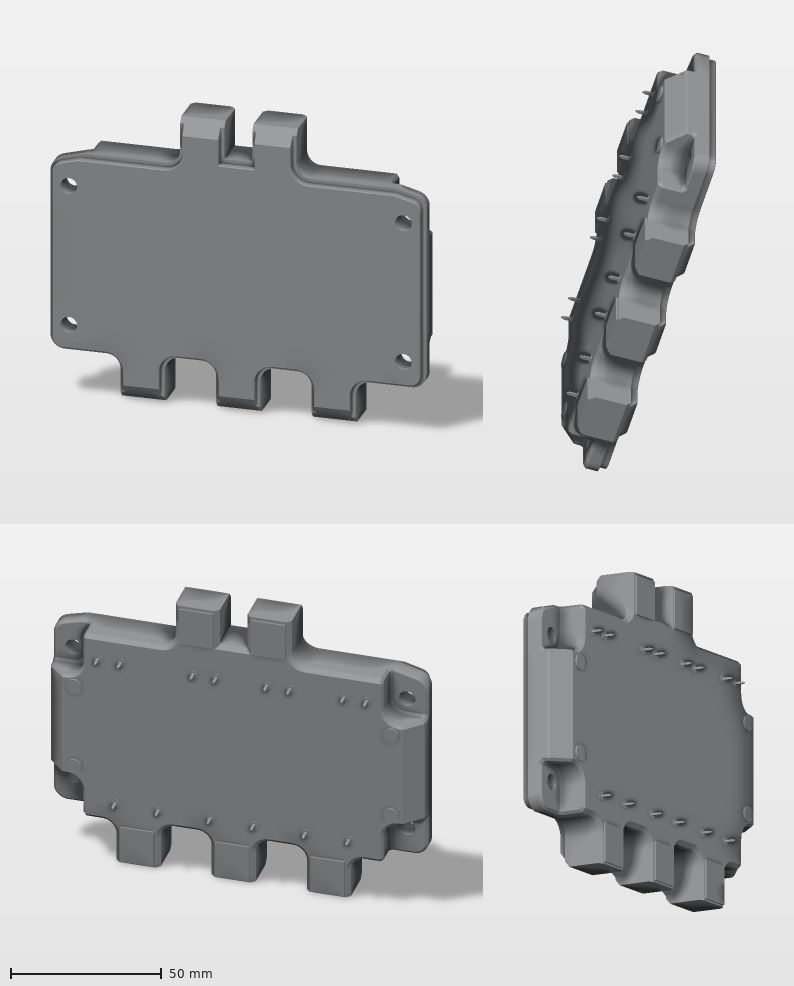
import cadquery as cq
import math

WIDTH = 130.0
TOP_TAB_END = 52.9
BOTTOM_TAB_END = -50.0
BODY_TOP = 16.6
PIN_TIP = 20.5

TOP_EDGE = 36.0
BOTTOM_EDGE = -34.8
BOTTOM_NOTCH_EDGE = -33.7
TOP_NOTCH_EDGE = 39.6
OUTLINE_RADIUS = 5.0
TAB_WIDTH = 15.3
TOP_TAB_X = 12.5
BOTTOM_TAB_PITCH = 33.0
SLOPE_START_X = 54.9
HOUSING_LEFT_SLOPE_START_X = 52.8
SLOPE_ANGLE = 15.0
TAB_OVERRUN = 3.9

PLATE_THICKNESS = 2.7
PLATE_INSET = 1.4
PLATE_CHAMFER = 0.3

RIM_CHAMFER = 1.4
TAB_CHAMFER_Y = 4.3
TAB_CHAMFER_Z = 5.5
SIDE_CHAMFER_X = 5.8
SIDE_CHAMFER_Y = 6.0
SIDE_BREAK = 0.5

HOLE_X = 57.8
HOLE_Z = 25.0
HOLE_DIAMETER = 5.7
POCKET_RADIUS = 5.8
POCKET_FLOOR = 7.7
POCKET_FLOOR_CHAMFER = 0.9
POCKET_RIM_CHAMFER = 0.9

PAD_HEIGHT = 0.6
PAD_WIDTH = 11.7
PAD_LENGTH = 13.3
TOP_PAD_END_GAP = 1.0
BOTTOM_PAD_END_GAP = 0.6
BOSS_DIAMETER = 5.5
BOSS_X = 55.0
BOSS_Z = 15.5

PIN_ROW_Z = 27.4
PIN_WIDTH = 1.0
PIN_DEPTH = 0.8
PIN_TIP_LENGTH = 1.0
PIN_TIP_TAPER = 0.3
COLLAR_RADIUS = 1.4
COLLAR_HEIGHT = 0.3
BOTTOM_PIN_OFFSET = 7.5
TOP_PIN_SPACING = 7.9
TOP_PIN_PAIR_X = (-42.8, -16.1, 9.5, 42.6)

HALF_WIDTH = WIDTH / 2
HALF_TAB = TAB_WIDTH / 2
SIDES = (-1, 1)
BOTTOM_TAB_X = (-BOTTOM_TAB_PITCH, 0, BOTTOM_TAB_PITCH)
TOLERANCE = 0.001


def on_face(y):
    """Workplane parallel to the XZ plane at height y; negative extrusions run toward +Y."""
    return cq.Workplane("XZ", origin=(0, y, 0))


def half_outline(slope_start):
    """Sharp corners of the outline on the +X side, with the tabs running past their ends."""
    slope_drop = (HALF_WIDTH - slope_start) * math.tan(math.radians(SLOPE_ANGLE))
    top = TOP_TAB_END + TAB_OVERRUN
    bottom = BOTTOM_TAB_END - TAB_OVERRUN
    return [
        (TOP_TAB_X - HALF_TAB, TOP_NOTCH_EDGE),
        (TOP_TAB_X - HALF_TAB, top),
        (TOP_TAB_X + HALF_TAB, top),
        (TOP_TAB_X + HALF_TAB, TOP_EDGE),
        (slope_start, TOP_EDGE),
        (HALF_WIDTH, TOP_EDGE - slope_drop),
        (HALF_WIDTH, BOTTOM_EDGE),
        (BOTTOM_TAB_PITCH + HALF_TAB, BOTTOM_EDGE),
        (BOTTOM_TAB_PITCH + HALF_TAB, bottom),
        (BOTTOM_TAB_PITCH - HALF_TAB, bottom),
        (BOTTOM_TAB_PITCH - HALF_TAB, BOTTOM_NOTCH_EDGE),
        (HALF_TAB, BOTTOM_NOTCH_EDGE),
        (HALF_TAB, bottom),
    ]


def outline_prism(start, height, left_slope_start):
    """Prism of the body outline with every corner between the tabs rounded."""
    right = half_outline(SLOPE_START_X)
    left = [(-x, z) for x, z in reversed(half_outline(left_slope_start))]
    prism = on_face(start).polyline(right + left).close().extrude(-height)
    rounded_zone = cq.selectors.BoxSelector(
        (-WIDTH, -WIDTH, BOTTOM_TAB_END), (WIDTH, WIDTH, TOP_NOTCH_EDGE - TOLERANCE)
    )
    return prism.edges("|Y").edges(rounded_zone).fillet(OUTLINE_RADIUS)


def housing():
    """Upper block with its rim chamfered all round."""
    block = outline_prism(PLATE_THICKNESS, BODY_TOP - PLATE_THICKNESS, HOUSING_LEFT_SLOPE_START_X)
    return block.faces(">Y").edges().chamfer(RIM_CHAMFER)


def base_plate():
    """Plate under the housing, stepped in from its outline."""
    outer = outline_prism(0, PLATE_THICKNESS, SLOPE_START_X)
    outline = outer.faces("<Y").wires().val()
    inset_outline = outline.offset2D(-PLATE_INSET, "intersection")[0]
    plate = on_face(0).add(inset_outline).toPending().extrude(-PLATE_THICKNESS)
    return plate.faces("<Y").edges().chamfer(PLATE_CHAMFER)


def tab_end_limits():
    """Profile across X that ends the tabs and slopes their ends toward the base."""
    return (
        cq.Workplane("YZ")
        .moveTo(0, TOP_TAB_END - TAB_CHAMFER_Z)
        .lineTo(TAB_CHAMFER_Y, TOP_TAB_END)
        .lineTo(BODY_TOP, TOP_TAB_END)
        .lineTo(BODY_TOP, BOTTOM_TAB_END)
        .lineTo(TAB_CHAMFER_Y, BOTTOM_TAB_END)
        .lineTo(0, BOTTOM_TAB_END + TAB_CHAMFER_Z)
        .close()
        .extrude(HALF_WIDTH, both=True)
    )


def side_limits():
    """Profile along Z that slopes both long sides toward the top."""
    slope_foot = BODY_TOP - SIDE_CHAMFER_Y
    right = [
        (HALF_WIDTH, 0),
        (HALF_WIDTH, slope_foot),
        (HALF_WIDTH - SIDE_CHAMFER_X, BODY_TOP),
    ]
    left = [(-x, y) for x, y in reversed(right)]
    return cq.Workplane("XY").polyline(right + left).close().extrude(HALF_WIDTH, both=True)


def corner_pocket(side_x, side_z):
    """Pocket around a screw hole, open toward its corner, with a chamfered floor edge."""
    center_x = side_x * HOLE_X
    center_z = side_z * HOLE_Z
    wall_x = center_x - side_x * POCKET_RADIUS
    wall_z = center_z - side_z * POCKET_RADIUS
    middle = POCKET_RADIUS * math.sqrt(0.5)
    far_x = side_x * WIDTH
    far_z = side_z * WIDTH
    tool = (
        on_face(POCKET_FLOOR)
        .moveTo(wall_x, far_z)
        .lineTo(wall_x, center_z)
        .threePointArc((center_x - side_x * middle, center_z - side_z * middle), (center_x, wall_z))
        .lineTo(far_x, wall_z)
        .lineTo(far_x, far_z)
        .close()
        .extrude(-PIN_TIP)
    )
    return tool.faces("<Y").edges().chamfer(POCKET_FLOOR_CHAMFER)


def cut_corner_pocket(body, side_x, side_z):
    """Cut one pocket and chamfer the rim it leaves on the outside of the body."""
    pocket = corner_pocket(side_x, side_z)
    outside = body.val().Shells()[0]
    pocket_skin = pocket.val().Shells()[0]
    body = body.cut(pocket)

    def on_rim(edge):
        middle = cq.Vertex.makeVertex(*edge.positionAt(0.5).toTuple())
        return middle.distance(outside) < TOLERANCE and middle.distance(pocket_skin) < TOLERANCE

    return body.edges().filter(on_rim).chamfer(POCKET_RIM_CHAMFER)


def break_side_edges(body):
    """Blunt the edge where each sloped side meets the vertical side below it."""
    slope_foot = BODY_TOP - SIDE_CHAMFER_Y
    for side in SIDES:
        nearest = cq.selectors.NearestToPointSelector((side * HALF_WIDTH, slope_foot, 0))
        body = body.edges("|Z").edges(nearest).chamfer(SIDE_BREAK)
    return body


def pads():
    """Raised pads on the tabs."""
    top_z = TOP_TAB_END - TOP_PAD_END_GAP - PAD_LENGTH / 2
    bottom_z = BOTTOM_TAB_END + BOTTOM_PAD_END_GAP + PAD_LENGTH / 2
    centers = [(side * TOP_TAB_X, top_z) for side in SIDES]
    centers += [(x, bottom_z) for x in BOTTOM_TAB_X]
    return on_face(BODY_TOP).pushPoints(centers).rect(PAD_WIDTH, PAD_LENGTH).extrude(-PAD_HEIGHT)


def bosses():
    """Round bosses between the corner pockets."""
    centers = [(side_x * BOSS_X, side_z * BOSS_Z) for side_x in SIDES for side_z in SIDES]
    return on_face(BODY_TOP).pushPoints(centers).circle(BOSS_DIAMETER / 2).extrude(-PAD_HEIGHT)


def pin_centers():
    """Pins in pairs: one pair per bottom tab, and four pairs in the top row."""
    bottom = [(x + side * BOTTOM_PIN_OFFSET, -PIN_ROW_Z) for x in BOTTOM_TAB_X for side in SIDES]
    top = [(x + side * TOP_PIN_SPACING / 2, PIN_ROW_Z) for x in TOP_PIN_PAIR_X for side in SIDES]
    return bottom + top


def pins():
    """Flat pins with tapered tips, each standing on a low collar."""
    centers = pin_centers()
    blades = on_face(BODY_TOP).pushPoints(centers).rect(PIN_WIDTH, PIN_DEPTH).extrude(BODY_TOP - PIN_TIP)
    blades = blades.faces(">Y").edges().chamfer(PIN_TIP_LENGTH, PIN_TIP_TAPER)
    collars = on_face(BODY_TOP).pushPoints(centers).circle(COLLAR_RADIUS).extrude(-COLLAR_HEIGHT)
    return collars.union(blades)


def screw_holes():
    """Through holes at the four corners."""
    centers = [(side_x * HOLE_X, side_z * HOLE_Z) for side_x in SIDES for side_z in SIDES]
    return on_face(0).pushPoints(centers).circle(HOLE_DIAMETER / 2).extrude(-BODY_TOP)


result = housing().union(base_plate()).intersect(tab_end_limits()).intersect(side_limits())
for side_x in SIDES:
    for side_z in SIDES:
        result = cut_corner_pocket(result, side_x, side_z)
result = break_side_edges(result)
result = result.cut(screw_holes()).union(pads()).union(bosses()).union(pins())